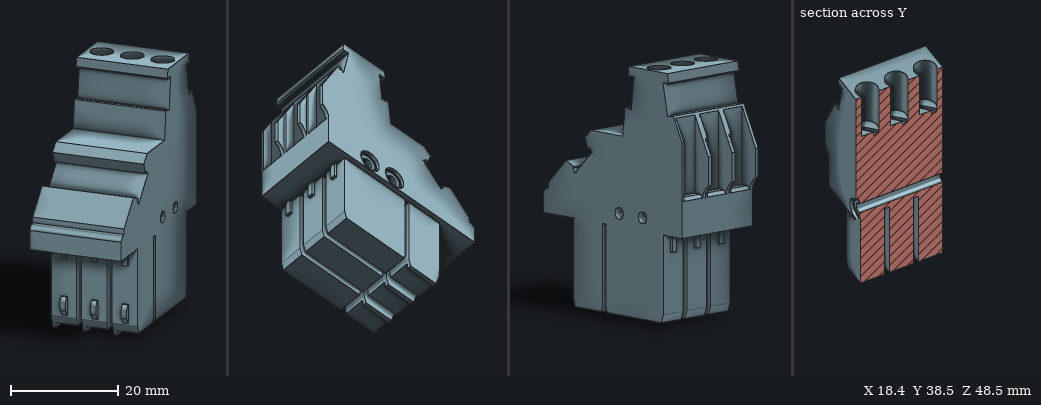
import cadquery as cq


POLES = 3
PITCH = 6.15
WIDTH = POLES * PITCH
DEPTH = 38.45
HEIGHT = 30.75

REAR_Y = 36.9
LEDGE_Y = 34.65
LEDGE_Z = 22.9
SLOPE_FOOT_Z = 14.95
HOLLOW_LOW_Z = 6.95
HOLLOW_HIGH_Z = 9.45
SHOULDER_Z = 17.3
NOSE_TOP_Z = 3.75

FIN_WALL = 0.75
POCKET_WIDTH = 4.9
POCKET_FRONT_Y = 34.85
POCKET_FLOOR_Z = 7.65
POCKET_LEAD_IN = 0.65

SCREW_Y = 27.67
SCREW_DIAMETER = 4.4
SCREW_SINK = 10.0
SLOT_WIDTH = 0.7
SLOT_DEPTH = 0.8
SLOT_ANGLE = -45

CROSS_HOLE_Y = (20.25, 26.45)
CROSS_HOLE_Z = 2.55
CROSS_HOLE_DIAMETER = 2.2
RECESS_DIAMETER = 4.6
RECESS_DEPTH = 0.65
SEAT_DIAMETER = 3.95
SEAT_DEPTH = 0.1

LEG_GAP = 1.0
LEG_WIDTH = PITCH - LEG_GAP
LEG_LENGTH = 16.7
TONGUE_LENGTH = 17.73
TONGUE_WIDTH = 0.75
LEG_REAR_Y = 31.95
LEG_SPLIT_REAR_Y = 16.75
LEG_SPLIT_FRONT_Y = 15.75
LEG_FRONT_Y = 8.05
REAR_TAPER_Z = -15.1
SPLIT_TAPER_Z = -16.0
FRONT_TAPER_Z = -15.2
TIP_TAPER = 0.5
REAR_LEG_SPLIT_TAPER = 0.2
FRONT_TIP_TAPER = 0.8

RIB_X = 3.2
RIB_WIDTH = 1.1
RIB_LENGTH = 3.45
RIB_HEIGHT = 0.55
LATCH_TOP_Z = -11.1
LATCH_BOTTOM_Z = -14.85
LATCH_STEP = 0.3
PAD_DIAMETER = 2.8
PAD_HEIGHT = 0.2
PAD_Z = -2.95
PAD_POLE = 1

OVERLAP = 0.5


def extrude_along_x(outline, x_start, length):
    """Extrude a closed YZ outline in +X, starting at x_start."""
    return outline.extrude(length).translate((x_start, 0, 0))


def yz_box(x_start, x_length, y_low, y_high, z_low, z_high):
    """Box given by its X start and length and its Y and Z limits."""
    return cq.Workplane("XY").box(
        x_length, y_high - y_low, z_high - z_low, centered=False
    ).translate((x_start, y_low, z_low))


def make_housing():
    outline = (
        cq.Workplane("YZ")
        .moveTo(0, 0)
        .lineTo(REAR_Y, 0)
        .lineTo(REAR_Y, HOLLOW_LOW_Z)
        .threePointArc((37.4, 8.37), (DEPTH, HOLLOW_HIGH_Z))
        .lineTo(DEPTH, SLOPE_FOOT_Z)
        .lineTo(LEDGE_Y, LEDGE_Z)
        .lineTo(34.2, 23.05)
        .lineTo(34.0, 22.75)
        .lineTo(33.1, 22.6)
        .lineTo(31.85, 28.9)
        .lineTo(32.8, 28.9)
        .lineTo(33.0, 28.7)
        .lineTo(33.35, 29.0)
        .lineTo(33.05, HEIGHT)
        .lineTo(22.75, HEIGHT)
        .lineTo(22.55, 29.0)
        .lineTo(22.8, 28.7)
        .lineTo(23.05, 28.9)
        .lineTo(24.1, 28.9)
        .lineTo(23.4, 22.6)
        .lineTo(22.65, 22.65)
        .lineTo(22.3, 22.9)
        .lineTo(21.75, 22.8)
        .lineTo(21.15, SHOULDER_Z)
        .lineTo(12.65, SHOULDER_Z)
        .lineTo(11.05, 15.7)
        .lineTo(11.9, 13.55)
        .lineTo(12.3, 13.9)
        .lineTo(13.0, 13.2)
        .lineTo(8.55, 8.65)
        .lineTo(7.9, 9.45)
        .lineTo(8.25, 9.8)
        .lineTo(6.05, 10.7)
        .lineTo(1.4, 5.95)
        .lineTo(1.3, 4.9)
        .lineTo(0.85, 4.68)
        .threePointArc((0.3, 4.3), (0, NOSE_TOP_Z))
        .close()
    )
    return extrude_along_x(outline, 0, WIDTH)


def wire_entry_cut(pole_x):
    """Pocket open to the rear, beside a fin on one side and a lower wall on the other."""
    pocket = (
        cq.Workplane("YZ")
        .moveTo(POCKET_FRONT_Y, POCKET_FLOOR_Z)
        .lineTo(REAR_Y - POCKET_LEAD_IN, POCKET_FLOOR_Z)
        .lineTo(REAR_Y, POCKET_FLOOR_Z - POCKET_LEAD_IN)
        .lineTo(DEPTH, POCKET_FLOOR_Z - POCKET_LEAD_IN)
        .lineTo(DEPTH, LEDGE_Z)
        .lineTo(POCKET_FRONT_Y, LEDGE_Z)
        .close()
    )
    pocket = extrude_along_x(pocket, pole_x + FIN_WALL, POCKET_WIDTH)
    trim = yz_box(pole_x + FIN_WALL, PITCH - FIN_WALL, REAR_Y, DEPTH, 0, LEDGE_Z)
    return pocket.union(trim)


def screw_cut(pole_x):
    """Screw well with the driver slot sunk into the screw head at its bottom."""
    head_z = HEIGHT - SCREW_SINK
    well = cq.Workplane("XY").circle(SCREW_DIAMETER / 2).extrude(SCREW_SINK)
    slot = (
        cq.Workplane("XY")
        .rect(SCREW_DIAMETER, SLOT_WIDTH)
        .extrude(-SLOT_DEPTH)
        .rotate((0, 0, 0), (0, 0, 1), SLOT_ANGLE)
        .intersect(cq.Workplane("XY").circle(SCREW_DIAMETER / 2).extrude(-SLOT_DEPTH))
    )
    return well.union(slot).translate((pole_x + PITCH / 2, SCREW_Y, head_z))


def cross_hole_cut(y):
    """Hole through all poles with a stepped recess on the low-X side."""
    def bore(diameter, depth):
        return cq.Workplane("YZ").center(y, CROSS_HOLE_Z).circle(diameter / 2).extrude(depth)

    hole = bore(CROSS_HOLE_DIAMETER, WIDTH)
    recess = bore(RECESS_DIAMETER, RECESS_DEPTH)
    seat = bore(SEAT_DIAMETER, RECESS_DEPTH + SEAT_DEPTH)
    return hole.union(recess).union(seat)


def make_rear_leg(pole_x):
    outline = (
        cq.Workplane("YZ")
        .moveTo(LEG_SPLIT_REAR_Y, OVERLAP)
        .lineTo(LEG_REAR_Y, OVERLAP)
        .lineTo(LEG_REAR_Y, REAR_TAPER_Z)
        .lineTo(LEG_REAR_Y - TIP_TAPER, -LEG_LENGTH)
        .lineTo(LEG_SPLIT_REAR_Y + REAR_LEG_SPLIT_TAPER, -LEG_LENGTH)
        .lineTo(LEG_SPLIT_REAR_Y, SPLIT_TAPER_Z)
        .close()
    )
    return extrude_along_x(outline, pole_x + LEG_GAP, LEG_WIDTH)


def make_front_leg(pole_x):
    leg_x = pole_x + LEG_GAP
    outline = (
        cq.Workplane("YZ")
        .moveTo(LEG_FRONT_Y, OVERLAP)
        .lineTo(LEG_SPLIT_FRONT_Y, OVERLAP)
        .lineTo(LEG_SPLIT_FRONT_Y, SPLIT_TAPER_Z)
        .lineTo(LEG_SPLIT_FRONT_Y - TIP_TAPER, -TONGUE_LENGTH)
        .lineTo(LEG_FRONT_Y + FRONT_TIP_TAPER, -TONGUE_LENGTH)
        .lineTo(LEG_FRONT_Y, FRONT_TAPER_Z)
        .close()
    )
    leg = extrude_along_x(outline, leg_x, LEG_WIDTH)
    trim = yz_box(
        leg_x + TONGUE_WIDTH, LEG_WIDTH - TONGUE_WIDTH,
        LEG_FRONT_Y, LEG_SPLIT_FRONT_Y, -TONGUE_LENGTH, -LEG_LENGTH,
    )
    return leg.cut(trim)


def make_ribs(pole_x):
    """Short upright ribs on the front and rear faces of the legs, under the housing."""
    rib_x = pole_x + RIB_X
    front = yz_box(rib_x, RIB_WIDTH, LEG_FRONT_Y - RIB_HEIGHT, LEG_FRONT_Y + OVERLAP, -RIB_LENGTH, OVERLAP)
    rear = yz_box(rib_x, RIB_WIDTH, LEG_REAR_Y - OVERLAP, LEG_REAR_Y + RIB_HEIGHT, -RIB_LENGTH, OVERLAP)
    return front.union(rear)


def make_latch(pole_x):
    """Rounded latch nose near the bottom of the front leg."""
    outline = (
        cq.Workplane("YZ")
        .moveTo(LEG_FRONT_Y + OVERLAP, LATCH_TOP_Z)
        .lineTo(LEG_FRONT_Y - LATCH_STEP, LATCH_TOP_Z)
        .threePointArc((7.04, -12.3), (7.13, -13.7))
        .lineTo(LEG_FRONT_Y, LATCH_BOTTOM_Z)
        .lineTo(LEG_FRONT_Y + OVERLAP, LATCH_BOTTOM_Z)
        .close()
    )
    return extrude_along_x(outline, pole_x + RIB_X, RIB_WIDTH)


def make_pad():
    """Thin round pad on the low-X side of the middle rear leg."""
    leg_x = PAD_POLE * PITCH + LEG_GAP
    pad_y = (LEG_REAR_Y + LEG_SPLIT_REAR_Y) / 2
    pad = cq.Workplane("YZ").center(pad_y, PAD_Z).circle(PAD_DIAMETER / 2)
    return extrude_along_x(pad, leg_x - PAD_HEIGHT, PAD_HEIGHT + OVERLAP)


result = make_housing()
for pole in range(POLES):
    x = pole * PITCH
    result = result.cut(wire_entry_cut(x)).cut(screw_cut(x))
    result = result.union(make_rear_leg(x)).union(make_front_leg(x))
    result = result.union(make_ribs(x)).union(make_latch(x))
for hole_y in CROSS_HOLE_Y:
    result = result.cut(cross_hole_cut(hole_y))
result = result.union(make_pad())